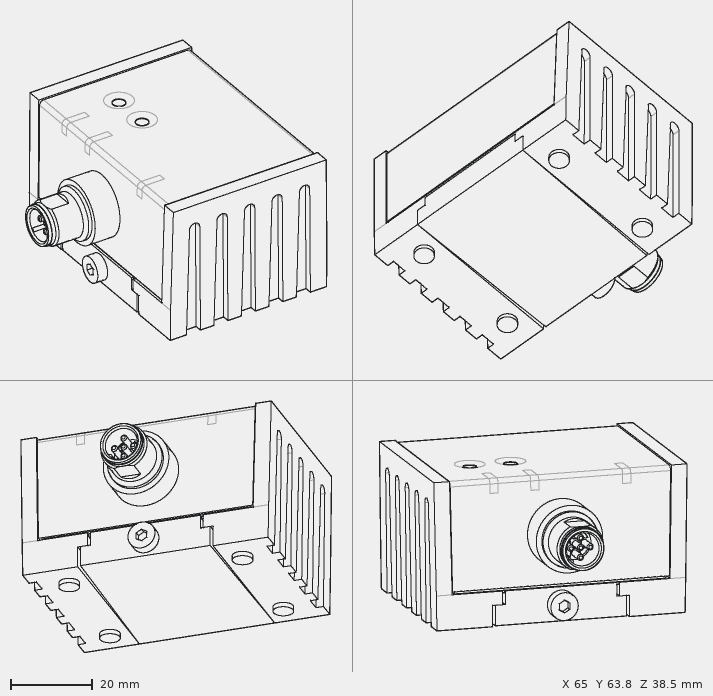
import cadquery as cq
import math

TOP_HALF_LENGTH = 32.5
FRAME_HEIGHT = 37.3
BASE_HEIGHT = 8.85
BASE_HALF_DEPTH = 22.75
WALL_THICKNESS = 4.0
DRAFT = math.tan(math.radians(1))
WALL_TOP_HALF_DEPTH = BASE_HALF_DEPTH - DRAFT * (FRAME_HEIGHT - BASE_HEIGHT)

GROOVE_COUNT = 5
GROOVE_PITCH = 8.0
GROOVE_DEPTH = 1.95
GROOVE_TOP = 32.0
GROOVE_TIP_RADIUS = 1.5
GROOVE_STRAIGHT_TOP = GROOVE_TOP - GROOVE_TIP_RADIUS
GROOVE_FOOT_HALF_WIDTH = GROOVE_TIP_RADIUS + DRAFT * GROOVE_STRAIGHT_TOP

FOOT_RADIUS = 2.55
FOOT_HEIGHT = 1.2
FOOT_X = 22.5
FOOT_Y = 15.0

SLOT_STEP_HEIGHT = 5.4
SLOT_FOOT_HALF_WIDTH = 17.55
SLOT_NECK_HALF_WIDTH = 15.0
WEB_THICKNESS = 0.65
PLATE_FRONT_GAP = 0.7
PLATE_FRONT_LIFT = 0.2
LIP_DEPTH = 0.65
SLOT_HEIGHT = BASE_HEIGHT - WEB_THICKNESS

SCREW_Z = 4.5
SCREW_RADIUS = 3.5
SCREW_HEIGHT = 2.85
HEX_ACROSS_FLATS = 2.7
HEX_DEPTH = 1.6
HEX_TURN = 30

HOUSING_TOP = 37.05
HOUSING_TOP_HALF_LENGTH = 28.3
HOUSING_DEPTH_INSET = 0.1
PEDESTAL_HEIGHT = 0.65
PEDESTAL_INSET = 0.65
HOUSING_BOTTOM = BASE_HEIGHT + PEDESTAL_HEIGHT
HOUSING_FILLET = 1.2

BUTTON_XS = (-18.1, -7.6)
BUTTON_Y = -5.6
DISH_RADIUS = 3.8
DISH_DEPTH = 0.6
BUTTON_RADIUS = 1.7
BUTTON_STEP = 0.2
BUTTON_HOLLOW = 0.1

WINDOW_XS = (-17.0, -6.55, 17.0)
WINDOW_WIDTH = 2.1
WINDOW_BACK_Y = -15.6
WINDOW_BOTTOM = 33.55

CONNECTOR_Z = 22.4
COLLAR_RADIUS = 8.5
COLLAR_END_Y = -29.6
FLANGE_RADIUS = 7.1
FLANGE_END_Y = -30.55
BARREL_RADIUS = 6.0
BARREL_START_Y = -31.4
BARREL_END_Y = -38.5
NOSE_RADIUS = 5.45
NOSE_START_Y = -39.05
NOSE_END_Y = -40.1
RIM_RADIUS = 5.25
RIM_END_Y = -41.0
FLAT_HALF_HEIGHT = 5.4
FLAT_START_Y = -33.0
FLAT_RUN_IN = 0.5

SOCKET_MOUTH_RADIUS = 4.6
SOCKET_RADIUS = 4.15
SOCKET_MOUTH_CHAMFER = 0.5
SOCKET_DEPTH = 7.15
SOCKET_FLOOR_Y = RIM_END_Y + SOCKET_DEPTH
INSERT_RADIUS = 3.45
INSERT_HEIGHT = 0.65
INSERT_SLOT_RADIUS = 1.3
INSERT_SLOT_LENGTH = 6.5
PIN_CIRCLE_RADIUS = 2.5
PIN_COUNT = 4
PIN_RADIUS = 0.8
PIN_TIP_RADIUS = 0.45
PIN_TIP_LENGTH = 0.3
PIN_LENGTH = 5.1
KEY_RADIUS = 0.5
KEY_LENGTH = SOCKET_DEPTH - SOCKET_MOUTH_CHAMFER
KEY_ANGLE = math.radians(225)


def box_between(x0, x1, y0, y1, z0, z1):
    return cq.Workplane("XY").box(x1 - x0, y1 - y0, z1 - z0, centered=False).translate((x0, y0, z0))


def tapered_slab(top_half_length, bottom, top):
    """Slab along Y, wider at the top, whose two X faces lean by the draft."""
    bottom_half_length = top_half_length - DRAFT * (top - bottom)
    return (
        cq.Workplane("XZ")
        .polyline([
            (-bottom_half_length, bottom),
            (bottom_half_length, bottom),
            (top_half_length, top),
            (-top_half_length, top),
        ])
        .close()
        .extrude(BASE_HALF_DEPTH, both=True)
    )


def depth_profile(inset):
    """Solid along X with the frame's side outline: upright base, walls leaning inwards above it."""
    base_half = BASE_HALF_DEPTH - inset
    top_half = WALL_TOP_HALF_DEPTH - inset
    return (
        cq.Workplane("YZ")
        .polyline([
            (-base_half, 0),
            (base_half, 0),
            (base_half, BASE_HEIGHT),
            (top_half, FRAME_HEIGHT),
            (-top_half, FRAME_HEIGHT),
            (-base_half, BASE_HEIGHT),
        ])
        .close()
        .extrude(TOP_HALF_LENGTH, both=True)
    )


def wall_grooves():
    """Round-topped grooves in both end walls, with floors parallel to the leaning faces."""
    grooves = cq.Workplane("YZ")
    for index in range(GROOVE_COUNT):
        y = (index - (GROOVE_COUNT - 1) / 2) * GROOVE_PITCH
        outline = (
            cq.Workplane("YZ")
            .moveTo(y - GROOVE_FOOT_HALF_WIDTH, 0)
            .lineTo(y + GROOVE_FOOT_HALF_WIDTH, 0)
            .lineTo(y + GROOVE_TIP_RADIUS, GROOVE_STRAIGHT_TOP)
            .threePointArc((y, GROOVE_TOP), (y - GROOVE_TIP_RADIUS, GROOVE_STRAIGHT_TOP))
            .close()
        )
        grooves = grooves.add(outline.extrude(TOP_HALF_LENGTH, both=True))
    return grooves.combine().cut(tapered_slab(TOP_HALF_LENGTH - GROOVE_DEPTH, 0, FRAME_HEIGHT))


def tee_outline(plane, side_gap, lift):
    """Inverted T of the slot, narrowed by a gap on each side and raised at the bottom."""
    foot = SLOT_FOOT_HALF_WIDTH - side_gap
    neck = SLOT_NECK_HALF_WIDTH - side_gap
    return plane.polyline([
        (-foot, lift),
        (foot, lift),
        (foot, SLOT_STEP_HEIGHT),
        (neck, SLOT_STEP_HEIGHT),
        (neck, SLOT_HEIGHT),
        (-neck, SLOT_HEIGHT),
        (-neck, SLOT_STEP_HEIGHT),
        (-foot, SLOT_STEP_HEIGHT),
    ]).close()


def front_lip(half_width):
    """Bar at the front of the base, level with the web above the slot."""
    return box_between(-half_width, half_width, -BASE_HALF_DEPTH, LIP_DEPTH - BASE_HALF_DEPTH,
                       SLOT_HEIGHT, BASE_HEIGHT)


def make_frame():
    frame = tapered_slab(TOP_HALF_LENGTH, 0, FRAME_HEIGHT).intersect(depth_profile(0))
    channel = tapered_slab(TOP_HALF_LENGTH - WALL_THICKNESS, BASE_HEIGHT, FRAME_HEIGHT)
    slot = tee_outline(cq.Workplane("XZ"), 0, 0).extrude(BASE_HALF_DEPTH, both=True)
    frame = frame.cut(channel).cut(slot).cut(front_lip(SLOT_NECK_HALF_WIDTH)).cut(wall_grooves())
    feet = (
        cq.Workplane("XY")
        .rect(2 * FOOT_X, 2 * FOOT_Y, forConstruction=True)
        .vertices()
        .circle(FOOT_RADIUS)
        .extrude(-FOOT_HEIGHT)
    )
    return frame.union(feet)


def make_mounting_plate():
    """T-shaped plate that fills the slot at the back and is slightly smaller at the front."""
    back = tee_outline(cq.Workplane("XZ", origin=(0, BASE_HALF_DEPTH, 0)), 0, 0)
    plate = tee_outline(
        back.workplane(offset=2 * BASE_HALF_DEPTH), PLATE_FRONT_GAP, PLATE_FRONT_LIFT
    ).loft(ruled=True)
    return plate.union(front_lip(SLOT_NECK_HALF_WIDTH - PLATE_FRONT_GAP))


def make_screw():
    head_plane = cq.Workplane("XZ", origin=(0, -BASE_HALF_DEPTH, SCREW_Z))
    hex_across_corners = 2 * HEX_ACROSS_FLATS / math.sqrt(3)
    hex_socket = (
        head_plane.workplane(offset=SCREW_HEIGHT - HEX_DEPTH)
        .transformed(rotate=(0, 0, HEX_TURN))
        .polygon(6, hex_across_corners)
        .extrude(HEX_DEPTH)
    )
    return head_plane.circle(SCREW_RADIUS).extrude(SCREW_HEIGHT).cut(hex_socket)


def button_dish(x):
    """Conical dish with a small hollow button at its centre."""
    step_depth = DISH_DEPTH + BUTTON_STEP
    return (
        cq.Workplane("XZ")
        .moveTo(0, 0)
        .lineTo(DISH_RADIUS, 0)
        .lineTo(BUTTON_RADIUS, -DISH_DEPTH)
        .lineTo(BUTTON_RADIUS, -step_depth)
        .lineTo(0, -step_depth - BUTTON_HOLLOW)
        .close()
        .revolve(360, (0, 0), (0, 1))
        .translate((x, BUTTON_Y, HOUSING_TOP))
    )


def make_housing():
    housing = tapered_slab(HOUSING_TOP_HALF_LENGTH, HOUSING_BOTTOM, HOUSING_TOP)
    housing = housing.intersect(depth_profile(HOUSING_DEPTH_INSET))
    housing = housing.faces(">Z").edges("|X").fillet(HOUSING_FILLET)

    bottom_half_length = HOUSING_TOP_HALF_LENGTH - DRAFT * (HOUSING_TOP - HOUSING_BOTTOM)
    pedestal_x = bottom_half_length - PEDESTAL_INSET
    pedestal_y = BASE_HALF_DEPTH - HOUSING_DEPTH_INSET - PEDESTAL_INSET
    housing = housing.union(
        box_between(-pedestal_x, pedestal_x, -pedestal_y, pedestal_y, BASE_HEIGHT, HOUSING_BOTTOM)
    )
    for x in BUTTON_XS:
        housing = housing.cut(button_dish(x))

    for x in WINDOW_XS:
        window = housing.intersect(
            box_between(x - WINDOW_WIDTH / 2, x + WINDOW_WIDTH / 2, -BASE_HALF_DEPTH, WINDOW_BACK_Y,
                        WINDOW_BOTTOM, HOUSING_TOP)
        )
        housing = housing.cut(window, clean=False).union(window, clean=False)
    return housing


def round_body(points):
    """Solid turned about the connector axis from (radius, y) points, closed along the axis."""
    outline = [(0, points[0][1]), *points, (0, points[-1][1])]
    return (
        cq.Workplane("XY")
        .polyline(outline)
        .close()
        .revolve(360, (0, 0), (0, 1))
        .translate((0, 0, CONNECTOR_Z))
    )


def connector_pin(x):
    """Contact pin with a tapered tip, offset sideways from the connector axis."""
    end_y = SOCKET_FLOOR_Y - PIN_LENGTH
    return round_body([
        (PIN_RADIUS, SOCKET_FLOOR_Y),
        (PIN_RADIUS, end_y + PIN_TIP_LENGTH),
        (PIN_TIP_RADIUS, end_y),
    ]).translate((x, 0, 0))


def barrel_flat():
    """Wedge-ended block that cuts the flat on the upper side of the barrel."""
    return (
        cq.Workplane("YZ")
        .polyline([
            (FLAT_START_Y, BARREL_RADIUS),
            (FLAT_START_Y - FLAT_RUN_IN, FLAT_HALF_HEIGHT),
            (NOSE_START_Y, FLAT_HALF_HEIGHT),
            (NOSE_START_Y, BARREL_RADIUS),
        ])
        .close()
        .extrude(BARREL_RADIUS, both=True)
    )


def socket_contents():
    """Clover-shaped insert, centre pin, ring of pins and coding key, all standing on the socket floor."""
    insert_plane = cq.Workplane("XZ", origin=(0, SOCKET_FLOOR_Y, CONNECTOR_Z))
    insert = insert_plane.circle(INSERT_RADIUS).extrude(INSERT_HEIGHT)
    slot_centre = PIN_CIRCLE_RADIUS - INSERT_SLOT_RADIUS + INSERT_SLOT_LENGTH / 2
    pins = connector_pin(0)
    axis_start = (0, 0, CONNECTOR_Z)
    axis_end = (0, 1, CONNECTOR_Z)
    for index in range(PIN_COUNT):
        angle = 360 / PIN_COUNT * index
        slot = (
            insert_plane.center(slot_centre, 0)
            .slot2D(INSERT_SLOT_LENGTH, 2 * INSERT_SLOT_RADIUS)
            .extrude(INSERT_HEIGHT)
        )
        insert = insert.cut(slot.rotate(axis_start, axis_end, angle))
        pins = pins.union(connector_pin(PIN_CIRCLE_RADIUS).rotate(axis_start, axis_end, angle))
    key = (
        insert_plane.center(SOCKET_RADIUS * math.cos(KEY_ANGLE), SOCKET_RADIUS * math.sin(KEY_ANGLE))
        .circle(KEY_RADIUS)
        .extrude(KEY_LENGTH)
    )
    return insert.union(pins).union(key)


def make_connector(housing):
    shell = round_body([
        (COLLAR_RADIUS, -BASE_HALF_DEPTH + 2 * HOUSING_FILLET),
        (COLLAR_RADIUS, COLLAR_END_Y),
        (FLANGE_RADIUS, COLLAR_END_Y),
        (FLANGE_RADIUS, FLANGE_END_Y),
        (BARREL_RADIUS, BARREL_START_Y),
        (BARREL_RADIUS, BARREL_END_Y),
        (NOSE_RADIUS, NOSE_START_Y),
        (NOSE_RADIUS, NOSE_END_Y),
        (RIM_RADIUS, NOSE_END_Y),
        (RIM_RADIUS, RIM_END_Y),
    ])
    upper_flat = barrel_flat()
    lower_flat = upper_flat.mirror("XY")
    for flat in (upper_flat, lower_flat):
        shell = shell.cut(flat.translate((0, 0, CONNECTOR_Z)))

    socket = round_body([
        (SOCKET_RADIUS, SOCKET_FLOOR_Y),
        (SOCKET_RADIUS, RIM_END_Y + SOCKET_MOUTH_CHAMFER),
        (SOCKET_MOUTH_RADIUS, RIM_END_Y),
    ])
    connector = shell.cut(socket).union(socket_contents())

    return connector.cut(housing)


frame = make_frame()
mounting_plate = make_mounting_plate()
screw = make_screw()
housing = make_housing()
connector = make_connector(housing)

result = cq.Compound.makeCompound([
    frame.solids().val(),
    mounting_plate.solids().val(),
    screw.solids().val(),
    housing.solids().val(),
    connector.solids().val(),
])